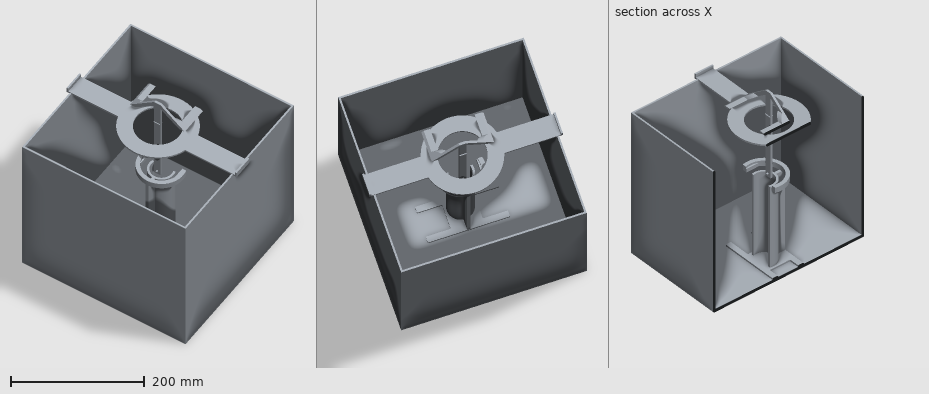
import cadquery as cq
TANK_SIDE = 293.0
TANK_HEIGHT = 263.3
WALL = 3.0

BRACKET_LENGTH = 305.0
BRACKET_THICKNESS = 3.0
BRACKET_RISE = 1.0
STRAP_WIDTH = 35.0
RING_OUTER_DIAMETER = 125.0
RING_INNER_DIAMETER = 75.0
LIP_HEIGHT = 9.2

HOOK_TOP = 316.8
STEM_WIDTH = 11.0
STEM_THICKNESS = 4.0
STEM_BOTTOM = 157.5
ARM_REACH = 49.0
ARM_TIP_WIDTH = 9.8
ARM_BOTTOM = 283.5
ARM_ROOT_DEPTH = 8.5
PRONG_HEIGHT = 3.0
PRONG_END_Y = 47.2
GUSSET_LENGTH = 9.8
GUSSET_HEIGHT = 9.0
GUSSET_BULGE = 1.3
COLLAR_LENGTH = 7.0
COLLAR_THICKNESS = 0.5
COLLAR_Z = 272.5
PIN_DIAMETER = 3.2
PIN_LENGTH = 10.8
PIN_Z = 163.8

BASE_LENGTH = 130.0
BASE_WIDTH = 60.0
BASE_THICKNESS = WALL
BASE_CORNER_RADIUS = 1.3
NOTCH_WIDTH = 40.0
WEB_HALF_WIDTH = 25.5
AXIS_Y = 9.5
TUBE_OUTER_RADIUS = 22.0
TUBE_INNER_RADIUS = 18.0
TUBE_BACK_Y = 15.8
CRADLE_OUTER_RADIUS = 39.0
CRADLE_INNER_RADIUS = 32.0
CRADLE_BACK_Y = 19.5
CRADLE_HEIGHT = 9.8
LEDGE_HALF_GAP = 28.8
LEDGE_DROP = 3.5
RIB_WIDTH = 5.0

BASE_TOP = WALL + BASE_THICKNESS
TUBE_TOP = STEM_BOTTOM


def block(x0, x1, y0, y1, z0, z1):
    """Box between two opposite corners."""
    return cq.Workplane("XY").box(x1 - x0, y1 - y0, z1 - z0, centered=False).translate((x0, y0, z0))


def make_tank():
    outer = cq.Workplane("XY").rect(TANK_SIDE, TANK_SIDE).extrude(TANK_HEIGHT)
    inner_side = TANK_SIDE - 2 * WALL
    cavity = cq.Workplane("XY").workplane(offset=WALL).rect(inner_side, inner_side).extrude(TANK_HEIGHT)
    return outer.cut(cavity)


def make_bracket(tank):
    top = TANK_HEIGHT + BRACKET_RISE
    bottom = top - BRACKET_THICKNESS
    plate = cq.Workplane("XY").workplane(offset=bottom)
    strap = plate.rect(BRACKET_LENGTH, STRAP_WIDTH).extrude(BRACKET_THICKNESS)
    ring = plate.circle(RING_OUTER_DIAMETER / 2).extrude(BRACKET_THICKNESS)
    bore = plate.circle(RING_INNER_DIAMETER / 2).extrude(BRACKET_THICKNESS)
    end_x = BRACKET_LENGTH / 2
    half_width = STRAP_WIDTH / 2
    lip = block(end_x - BRACKET_THICKNESS, end_x, -half_width, half_width, bottom, bottom + LIP_HEIGHT)
    bracket = strap.union(ring).cut(bore).union(lip).union(lip.mirror("YZ"))
    return bracket.cut(tank)


def arm_profile(bottom, top):
    """Slice of the right-hand arm between two heights, as an outline in the XZ plane."""
    half_stem = STEM_WIDTH / 2
    outer_run = (ARM_REACH - half_stem) / (HOOK_TOP - ARM_BOTTOM)
    inner_tip = ARM_REACH - ARM_TIP_WIDTH
    inner_run = (inner_tip - half_stem) / (HOOK_TOP - ARM_ROOT_DEPTH - ARM_BOTTOM)
    return [
        (inner_tip - inner_run * (bottom - ARM_BOTTOM), bottom),
        (ARM_REACH - outer_run * (bottom - ARM_BOTTOM), bottom),
        (ARM_REACH - outer_run * (top - ARM_BOTTOM), top),
        (inner_tip - inner_run * (top - ARM_BOTTOM), top),
    ]


def extrude_along_y(points, y0, y1):
    return cq.Workplane("XZ", origin=(0, y0, 0)).polyline(points).close().extrude(y0 - y1)


def make_arm():
    half_thickness = STEM_THICKNESS / 2
    half_stem = STEM_WIDTH / 2
    outline = [
        (ARM_REACH - ARM_TIP_WIDTH, ARM_BOTTOM),
        (ARM_REACH, ARM_BOTTOM),
        (half_stem, HOOK_TOP),
        (0, HOOK_TOP),
        (0, HOOK_TOP - ARM_ROOT_DEPTH),
        (half_stem, HOOK_TOP - ARM_ROOT_DEPTH),
    ]
    arm = extrude_along_y(outline, -half_thickness, half_thickness)
    prong_top = ARM_BOTTOM + PRONG_HEIGHT
    prong = extrude_along_y(arm_profile(ARM_BOTTOM, prong_top), -half_thickness, PRONG_END_Y)

    gusset_top = prong_top + GUSSET_HEIGHT
    gusset_back = half_thickness + GUSSET_LENGTH
    gusset = extrude_along_y(arm_profile(prong_top, gusset_top), half_thickness, gusset_back)
    arc_trim = (
        cq.Workplane("YZ")
        .moveTo(half_thickness, prong_top)
        .lineTo(gusset_back, prong_top)
        .sagittaArc((half_thickness, gusset_top), -GUSSET_BULGE)
        .close()
        .extrude(ARM_REACH)
    )
    return arm.union(prong).union(gusset.intersect(arc_trim))


def make_hook():
    half_width = STEM_WIDTH / 2
    half_thickness = STEM_THICKNESS / 2
    stem = block(-half_width, half_width, -half_thickness, half_thickness, STEM_BOTTOM, HOOK_TOP)
    half_collar = COLLAR_LENGTH / 2
    collar = block(-half_width, half_width, -half_collar, half_collar, COLLAR_Z, COLLAR_Z + COLLAR_THICKNESS)
    pin = (
        cq.Workplane("XZ", origin=(0, 0, PIN_Z))
        .circle(PIN_DIAMETER / 2)
        .extrude(PIN_LENGTH / 2, both=True)
    )
    arm = make_arm()
    return stem.union(arm).union(arm.mirror("YZ")).union(collar).union(pin)


def open_ring(outer_radius, inner_radius, back_y, bottom, top):
    """Upright ring about the stand axis, cut off flat behind back_y."""
    ring = (
        cq.Workplane("XY", origin=(0, AXIS_Y, bottom))
        .circle(outer_radius)
        .circle(inner_radius)
        .extrude(top - bottom)
    )
    keep = block(-outer_radius, outer_radius, AXIS_Y - outer_radius, back_y, bottom, top)
    return ring.intersect(keep)


def make_base():
    base = cq.Workplane("XY", origin=(0, 0, WALL)).rect(BASE_LENGTH, BASE_WIDTH).extrude(BASE_THICKNESS)
    notch = block(WEB_HALF_WIDTH, BASE_LENGTH, -NOTCH_WIDTH / 2, NOTCH_WIDTH / 2, WALL, BASE_TOP)
    base = base.cut(notch).cut(notch.mirror("YZ"))
    return base.edges("|Z").fillet(BASE_CORNER_RADIUS)


def make_cradle():
    top = TUBE_TOP + CRADLE_HEIGHT
    cradle = open_ring(CRADLE_OUTER_RADIUS, CRADLE_INNER_RADIUS, CRADLE_BACK_Y, TUBE_TOP, top)

    front_y = AXIS_Y - CRADLE_OUTER_RADIUS
    ledge_top = top - LEDGE_DROP
    disc = (
        cq.Workplane("XY", origin=(0, AXIS_Y, TUBE_TOP))
        .circle(CRADLE_OUTER_RADIUS)
        .extrude(ledge_top - TUBE_TOP)
    )
    side_block = block(LEDGE_HALF_GAP, CRADLE_OUTER_RADIUS, front_y, CRADLE_BACK_Y, TUBE_TOP, ledge_top)
    ledge = disc.intersect(side_block)
    return cradle.union(ledge).union(ledge.mirror("YZ"))


def make_stand():
    tube = open_ring(TUBE_OUTER_RADIUS, TUBE_INNER_RADIUS, TUBE_BACK_Y, BASE_TOP, TUBE_TOP)
    rib_front = AXIS_Y - CRADLE_OUTER_RADIUS
    rib_back = AXIS_Y - (TUBE_OUTER_RADIUS + TUBE_INNER_RADIUS) / 2
    rib = block(-RIB_WIDTH / 2, RIB_WIDTH / 2, rib_front, rib_back, BASE_TOP, TUBE_TOP)
    return make_base().union(tube).union(rib).union(make_cradle())


tank = make_tank()
bracket = make_bracket(tank)
hook = make_hook()
stand = make_stand()

result = cq.Compound.makeCompound([tank.val(), bracket.val(), hook.val(), stand.val()])